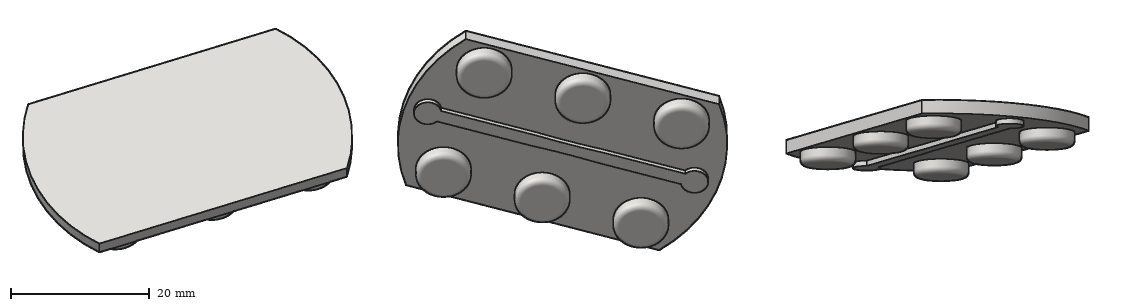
import cadquery as cq

plate_length = 47.5
plate_width = 28.0
side_length = 38.4
plate_thickness = 2.0

stud_diameter = 8.0
stud_height = 2.0
stud_tip_radius = 0.8
stud_spacing_x = 19.0
stud_spacing_y = 14.95

low_relief_height = 0.75
pin_diameter = 4.0
front_pin_y = -20.0
back_pin_y = 20.42
rib_width = 2.0
waist_front_y = -6.05
waist_back_y = 4.4
waist_depth = 0.1


def make_plate():
    """Slab with its underside at Z = 0 and an arc bulging out at each end."""
    half_width = plate_width / 2
    half_side = side_length / 2
    half_length = plate_length / 2
    return (
        cq.Workplane("XY")
        .moveTo(half_width, -half_side)
        .lineTo(half_width, half_side)
        .threePointArc((0, half_length), (-half_width, half_side))
        .lineTo(-half_width, -half_side)
        .threePointArc((0, -half_length), (half_width, -half_side))
        .close()
        .extrude(plate_thickness)
    )


def make_studs():
    """Six round studs hanging below the plate."""
    return (
        cq.Workplane("XY")
        .rarray(stud_spacing_x, stud_spacing_y, 2, 3)
        .circle(stud_diameter / 2)
        .extrude(-stud_height)
        .faces("<Z")
        .edges()
        .fillet(stud_tip_radius)
    )


def make_pins():
    """Two low round pins, one near each arched end."""
    return (
        cq.Workplane("XY")
        .pushPoints([(0, front_pin_y), (0, back_pin_y)])
        .circle(pin_diameter / 2)
        .extrude(-low_relief_height)
    )


def make_rib():
    """Low rib from pin to pin, with a shallow hollow arc in each side."""
    half_width = rib_width / 2
    waist_half_width = half_width - waist_depth
    waist_middle_y = (waist_front_y + waist_back_y) / 2
    return (
        cq.Workplane("XY")
        .moveTo(half_width, front_pin_y)
        .lineTo(half_width, waist_front_y)
        .threePointArc((waist_half_width, waist_middle_y), (half_width, waist_back_y))
        .lineTo(half_width, back_pin_y)
        .lineTo(-half_width, back_pin_y)
        .lineTo(-half_width, waist_back_y)
        .threePointArc((-waist_half_width, waist_middle_y), (-half_width, waist_front_y))
        .lineTo(-half_width, front_pin_y)
        .close()
        .extrude(-low_relief_height)
    )


result = make_plate().union(make_studs()).union(make_pins()).union(make_rib())